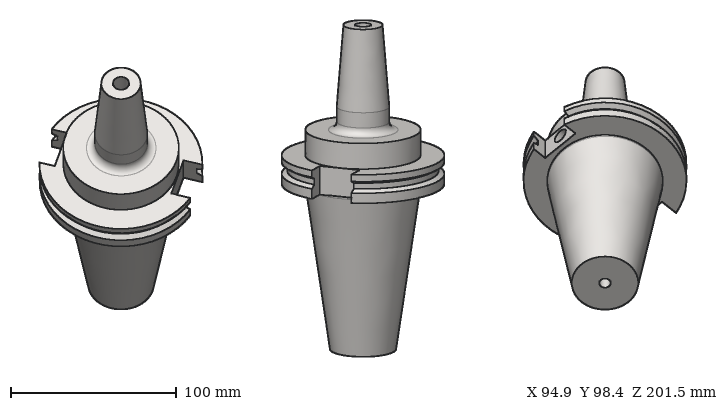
import cadquery as cq
import math

total_height = 201.5
gauge_level = 101.6
flange_bottom = gauge_level + 1.2
flange_top = 120.5
shoulder_level = 136.5
neck_top = 151.0

taper_ratio = 7 / 24
gauge_radius = 34.9
taper_end_radius = gauge_radius - gauge_level * taper_ratio / 2
flange_radius = 49.2
neck_radius = 16.0
nose_radius = 11.9
neck_fillet = 5.0

groove_floor_radius = 45.8
groove_bottom = 109.0
groove_top = 116.3
groove_flank_height = 1.8

slot_width = 26.0
left_floor_distance = 38.0
right_floor_distance = 35.5
side_hole_diameter = 9.5
side_hole_level = 112.9
side_hole_depth = 10.0

bore_diameter = 9.7
bore_depth = 40.3
passage_diameter = 6.9


def make_body():
    """Revolve the taper, flange, shoulder and nose about Z."""
    arc_offset = neck_fillet * (1 - math.sqrt(0.5))
    profile = (
        cq.Workplane("XZ")
        .lineTo(taper_end_radius, 0)
        .lineTo(gauge_radius, gauge_level)
        .lineTo(gauge_radius, flange_bottom)
        .lineTo(flange_radius, flange_bottom)
        .lineTo(flange_radius, groove_bottom)
        .lineTo(groove_floor_radius, groove_bottom + groove_flank_height)
        .lineTo(groove_floor_radius, groove_top - groove_flank_height)
        .lineTo(flange_radius, groove_top)
        .lineTo(flange_radius, flange_top)
        .lineTo(gauge_radius, flange_top)
        .lineTo(gauge_radius, shoulder_level)
        .lineTo(neck_radius + neck_fillet, shoulder_level)
        .threePointArc(
            (neck_radius + arc_offset, shoulder_level + arc_offset),
            (neck_radius, shoulder_level + neck_fillet),
        )
        .lineTo(neck_radius, neck_top)
        .lineTo(nose_radius, total_height)
        .lineTo(0, total_height)
        .close()
    )
    return profile.revolve(360, (0, 0), (0, 1))


def make_slot(side, floor_distance):
    """Cutter for a drive slot; side is -1 for -X and 1 for +X."""
    slot_length = flange_radius
    slot_center = side * (floor_distance + slot_length / 2)
    return (
        cq.Workplane("XY", origin=(slot_center, 0, flange_bottom))
        .rect(slot_length, slot_width)
        .extrude(flange_top - flange_bottom)
    )


def make_side_hole():
    """Cutter for the radial blind hole in the -X slot floor."""
    return (
        cq.Workplane("YZ", origin=(-left_floor_distance, 0, side_hole_level))
        .circle(side_hole_diameter / 2)
        .extrude(side_hole_depth)
    )


def make_bore():
    """Cutter for the stepped axial bore."""
    passage = cq.Workplane("XY").circle(passage_diameter / 2).extrude(total_height)
    tool_bore = (
        cq.Workplane("XY", origin=(0, 0, total_height - bore_depth))
        .circle(bore_diameter / 2)
        .extrude(bore_depth)
    )
    return passage.union(tool_bore)


result = (
    make_body()
    .cut(make_slot(-1, left_floor_distance))
    .cut(make_slot(1, right_floor_distance))
    .cut(make_side_hole())
    .cut(make_bore())
)